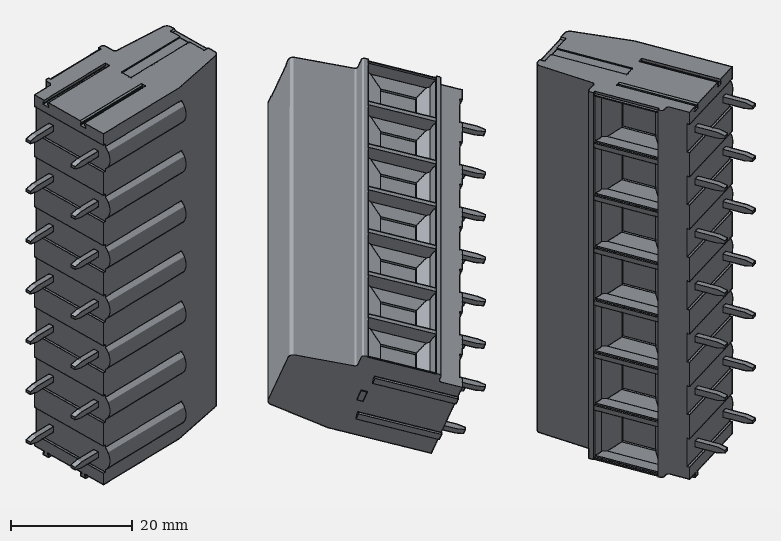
import cadquery as cq


pole_count = 7
body_height = 71.1
pitch = body_height / pole_count
pole_centre = pitch / 2

foot_left = 1.6
body_right = 17.3
entry_bottom = 4.1
entry_top = 17.9
tower_base_left = 2.65
tower_top_left = 3.6
tower_top_right = 15.25
body_top = 29.25
entry_round = 0.5
entry_fillet = 0.5
tower_round = 0.9

window_low = 5.0
window_high = 16.8
window_height = 9.0
throat_low = 5.4
throat_high = 16.4
floor_low = 7.25
floor_high = 13.45
floor_height = 5.45
divider_x = 0.15
lead_in_x = 0.5
slope_start_y_walls = 2.15
wall_bulge = 0.085
slope_start_z_walls = 2.6
slope_end = 3.7
floor_x = 4.1
sill_step = 0.3
top_edge_step = 0.4

relief_depth = 0.4
relief_height = 5.45
bump_chord = 4.5
bump_rise = 1.1
bump_top = 18.4

pin_centres_x = (5.0, 15.25)
pin_width = 1.0
pin_thickness = 1.15
pin_length = 5.0
pin_taper = 1.45
pin_tip_thickness = 0.5

rail_centres_x = (4.2, 12.65)
rail_length = 14.45
rail_drop = 0.8
rail_head_thickness = 0.4
rail_neck_width = 0.7
rail_head_width = 1.2
slot_depth = 0.9
slot_bevel = 0.25

groove_centre_x = 8.55
groove_width = 2.15
groove_depth = 0.2
notch_left = 5.25
notch_right = 13.0
notch_length = 0.9
notch_depth = 0.3
pad_length = 1.1
pad_drop = 0.2


def box(x0, x1, y0, y1, z0, z1):
    """Axis-aligned box between two corners."""
    return cq.Workplane("XY").box(x1 - x0, y1 - y0, z1 - z0, centered=False).translate((x0, y0, z0))


def at_each_pole(shape):
    """Repeat a shape made around Z = 0 at the centre of every pole."""
    copies = cq.Workplane("XY")
    for pole in range(pole_count):
        copies = copies.add(shape.translate((0, 0, pole * pitch + pole_centre)).vals())
    return copies.combine()


def rounded_edge(body, x, y, radius):
    """Round the full-height vertical edge nearest to a point of the cross-section."""
    return body.edges(cq.selectors.NearestToPointSelector((x, y, body_height / 2))).fillet(radius)


def housing():
    corners = [
        (foot_left, 0),
        (body_right, 0),
        (body_right, entry_top),
        (tower_top_right, body_top),
        (tower_top_left, body_top),
        (tower_base_left, entry_top),
        (0, entry_top),
        (0, entry_bottom),
        (foot_left, entry_bottom),
    ]
    body = cq.Workplane("XY").polyline(corners).close().extrude(body_height)
    body = rounded_edge(body, tower_top_right, body_top, tower_round)
    body = rounded_edge(body, tower_top_left, body_top, tower_round)
    body = rounded_edge(body, tower_base_left, entry_top, entry_fillet)
    body = rounded_edge(body, 0, entry_top, entry_round)
    body = rounded_edge(body, 0, entry_bottom, entry_round)
    return rounded_edge(body, foot_left, entry_bottom, entry_fillet)


def wire_entry():
    """Funnel-shaped pocket: the overlap of its XY outline and its XZ outline."""
    middle_x = (lead_in_x + slope_start_y_walls) / 2
    across_y = (
        cq.Workplane("XY")
        .moveTo(0, window_low)
        .lineTo(lead_in_x, window_low)
        .threePointArc((middle_x, throat_low - wall_bulge), (slope_start_y_walls, throat_low))
        .lineTo(slope_end, floor_low)
        .lineTo(floor_x, floor_low)
        .lineTo(floor_x, floor_high)
        .lineTo(slope_end, floor_high)
        .lineTo(slope_start_y_walls, throat_high)
        .threePointArc((middle_x, throat_high + wall_bulge), (lead_in_x, window_high))
        .lineTo(0, window_high)
        .close()
        .extrude(window_height / 2, both=True)
    )
    half_outline = [
        (0, window_height / 2),
        (slope_start_z_walls, window_height / 2),
        (slope_end, floor_height / 2),
        (floor_x, floor_height / 2),
    ]
    mirrored = [(x, -z) for x, z in reversed(half_outline)]
    across_z = cq.Workplane("XZ").polyline(half_outline + mirrored).close().extrude(-body_top)
    sill = -window_height / 2
    set_back = box(0, lead_in_x, window_low, window_high, sill - sill_step, 0)
    return across_y.intersect(across_z).union(set_back)


def foot_relief():
    return box(0, body_right, 0, relief_depth, -relief_height / 2, relief_height / 2)


def side_bump():
    return (
        cq.Workplane("XZ", origin=(0, relief_depth, 0))
        .moveTo(body_right, -bump_chord / 2)
        .threePointArc((body_right + bump_rise, 0), (body_right, bump_chord / 2))
        .close()
        .extrude(-(bump_top - relief_depth))
    )


def pin(centre_x):
    """Flat pin whose two Z faces taper toward the tip."""
    outline = [
        (relief_depth, pin_thickness / 2),
        (pin_taper - pin_length, pin_thickness / 2),
        (-pin_length, pin_tip_thickness / 2),
        (-pin_length, -pin_tip_thickness / 2),
        (pin_taper - pin_length, -pin_thickness / 2),
        (relief_depth, -pin_thickness / 2),
    ]
    return (
        cq.Workplane("YZ", origin=(centre_x, 0, 0))
        .polyline(outline)
        .close()
        .extrude(pin_width / 2, both=True)
    )


def tee_bar(centre_x, face_z, depth):
    """T-section bar hanging below face_z, with its head at the given depth."""
    half_neck = rail_neck_width / 2
    half_head = rail_head_width / 2
    bottom = face_z - depth
    head_top = bottom + rail_head_thickness
    neck = box(centre_x - half_neck, centre_x + half_neck, 0, rail_length, bottom, face_z)
    head = box(centre_x - half_head, centre_x + half_head, 0, rail_length, bottom, head_top)
    return neck.union(head)


def slot_lead_in(centre_x, inward):
    """45 degree bevel on the slot edge that faces the other slot; inward is +1 or -1 along X."""
    edge_x = centre_x + inward * rail_neck_width / 2
    outline = [
        (edge_x, body_height),
        (edge_x + inward * slot_bevel, body_height),
        (edge_x, body_height - slot_bevel),
    ]
    return cq.Workplane("XZ").polyline(outline).close().extrude(-rail_length)


def alignment_groove():
    half = groove_width / 2
    return box(
        groove_centre_x - half, groove_centre_x + half,
        rail_length, body_top, body_height - groove_depth, body_height,
    )


def end_notch():
    """Shallow notch in the top edge of the tower, with 45 degree ends."""
    floor_z = body_height - notch_depth
    outline = [
        (notch_left, body_height),
        (notch_left + notch_depth, floor_z),
        (notch_right - notch_depth, floor_z),
        (notch_right, body_height),
    ]
    start = (0, body_top - notch_length, 0)
    return cq.Workplane("XZ", origin=start).polyline(outline).close().extrude(-notch_length)


def locating_pad():
    half = groove_width / 2
    return box(
        groove_centre_x - half, groove_centre_x + half,
        rail_length, rail_length + pad_length, -pad_drop, 0,
    )


result = housing()
result = result.cut(at_each_pole(foot_relief()))
result = result.cut(at_each_pole(wire_entry()))
result = result.cut(box(0, divider_x, window_low, window_high, 0, body_height - pole_centre))
result = result.cut(
    box(0, lead_in_x, window_low, window_high, body_height - top_edge_step, body_height)
)
result = result.union(at_each_pole(side_bump()))
for pin_x in pin_centres_x:
    result = result.union(at_each_pole(pin(pin_x)))
for rail_x, inward in zip(rail_centres_x, (1, -1)):
    result = result.cut(tee_bar(rail_x, body_height, slot_depth))
    result = result.cut(slot_lead_in(rail_x, inward))
    result = result.union(tee_bar(rail_x, 0, rail_drop))
result = result.cut(alignment_groove()).cut(end_notch()).union(locating_pad())